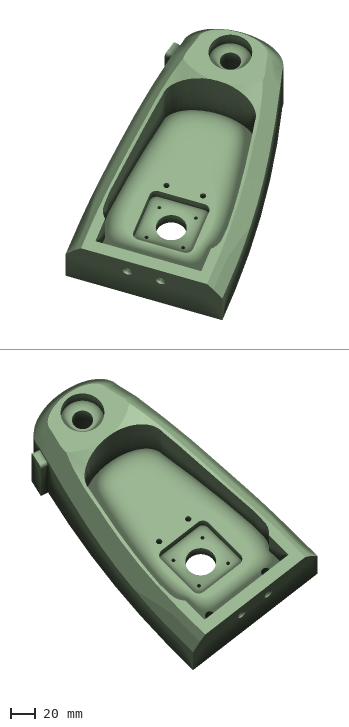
import cadquery as cq
import math

length = 239.5
width = 133.4
height = 63.0
half_width = width / 2

flank_start_y = 32.8
flank_axis_y = 19.2
nose_corner = (42.4, 214.8)
flank_rise = nose_corner[1] - flank_axis_y
flank_run = half_width - nose_corner[0]
flank_radius = (flank_rise**2 + flank_run**2) / (2 * flank_run)

low_top_z = 43.5
valley_start_y = 59.4
valley_end = (141.3, 52.7)
rim_y = 178.9
rim_side = (34.5, 191.5)
valley_end_bow = 0.2
shoulder_half_width = 52.7
clearance = 2.5

bevel_width = 13.0
bevel_height = 12.0
bevel_break_y = 197.3
nose_bevel_depth = 8.9
flank_bevel_top = (58.7, 39.0)
flank_bevel_bottom_z = 29.7

pocket_floor_z = 18.0
pocket_back_y = 10.5
pocket_back_half_width = 45.0
pocket_step_y = 34.0
pocket_bulge_mid = (48.8, 39.7)
pocket_bulge_end = (50.3, 46.7)
pocket_flank_start = (50.5, 59.4)
pocket_flank_mid = (47.0, 100.5)
pocket_nose_corner = (39.3, 157.3)
pocket_end_y = 179.5

seat_y = 66.0
seat_size = 50.8
seat_corner_radius = 6.0
seat_depth = 8.0
seat_bore_diameter = 25.0
hole_pitch = 31.1
seat_screw_diameter = 3.0
guide_hole_diameter = 5.0
guide_hole_y = 99.0
floor_hole_diameter = 8.1
floor_hole_pitch = 60.0
floor_hole_y = 20.8

back_hole_diameter = 8.1
back_hole_pitch = 28.3
back_hole_z = 30.0

pivot_y = 209.5
pivot_diameter = 17.0
pivot_counterbore_diameter = 35.2
pivot_counterbore_depth = 12.0

tab_corner = (-49.3, 215.5)
tab_length = 15.5
tab_thickness = 9.5
tab_height = 48.4
tab_radius = 3.0
tab_tilt = 12.5


def mirrored(point):
    return (-point[0], point[1])


def flank_x(y):
    """Half width of the outline at a given Y along the flank arc."""
    return half_width - flank_radius + math.sqrt(flank_radius**2 - (y - flank_axis_y) ** 2)


def flank_top_z(y):
    """Height of the upper bevel edge at a given Y."""
    if y <= valley_start_y:
        return low_top_z
    valley_y, valley_z = valley_end
    if y <= valley_y:
        rise = (y - valley_start_y) / (valley_y - valley_start_y)
        return low_top_z + (valley_z - low_top_z) * rise**2
    rise = min((y - valley_y) / (bevel_break_y - valley_y), 1)
    return valley_z + (height - valley_z) * rise


def outer_blank():
    start = (flank_x(flank_start_y), flank_start_y)
    middle_y = (flank_start_y + nose_corner[1]) / 2
    middle = (flank_x(middle_y), middle_y)
    return (
        cq.Workplane("XY")
        .moveTo(-half_width, 0)
        .lineTo(half_width, 0)
        .lineTo(*start)
        .threePointArc(middle, nose_corner)
        .ellipseArc(nose_corner[0], length - nose_corner[1], 0, 180, startAtCurrent=True)
        .threePointArc(mirrored(middle), mirrored(start))
        .close()
        .extrude(height)
    )


def valley_cutter():
    """Space above the low back top and the rising curve, constant along X."""
    end_y, end_z = valley_end
    rise_slope = 2 * (end_z - low_top_z) / (end_y - valley_start_y)
    return (
        cq.Workplane("YZ", origin=(-width, 0, 0))
        .moveTo(-clearance, low_top_z)
        .lineTo(valley_start_y, low_top_z)
        .spline(
            [valley_end],
            tangents=[(1, 0), (1, rise_slope)],
            includeCurrent=True,
        )
        .lineTo(end_y, height + clearance)
        .lineTo(-clearance, height + clearance)
        .close()
        .extrude(2 * width)
    )


def shoulder_section(plane, middle_y, side_y):
    """Level section reaching the full width, closed by an arc towards the nose."""
    back_y = valley_start_y
    return (
        plane.moveTo(-shoulder_half_width, back_y)
        .lineTo(shoulder_half_width, back_y)
        .lineTo(shoulder_half_width, side_y)
        .threePointArc((0, middle_y), (-shoulder_half_width, side_y))
        .close()
    )


def shoulder_cutter():
    """Space above the ruled slope from the valley end to the arched plateau rim."""
    end_y, end_z = valley_end
    rim_rise = rim_side[1] - rim_y
    rim_radius = (rim_side[0] ** 2 + rim_rise**2) / (2 * rim_rise)
    rim_end_y = rim_y + rim_radius - math.sqrt(rim_radius**2 - shoulder_half_width**2)
    lower = shoulder_section(
        cq.Workplane("XY", origin=(0, 0, end_z)), end_y, end_y + valley_end_bow
    )
    return shoulder_section(
        lower.workplane(offset=height - end_z), rim_y, rim_end_y
    ).loft(ruled=True)


def bevel_section(y):
    """Triangle outside the bevel line at a given Y, overshooting both bevel edges."""
    outer_x = flank_x(max(y, flank_start_y))
    top_z = flank_top_z(y)
    low = cq.Vector(outer_x + bevel_width, y, top_z - 2 * bevel_height)
    high = cq.Vector(outer_x - 2 * bevel_width, y, top_z + bevel_height)
    corner = cq.Vector(low.x, y, high.z)
    return cq.Wire.makePolygon([low, high, corner], close=True)


def flank_bevel_cutter():
    """Bevel along the +X flank in stretches, from the straight back to the plateau."""
    valley_y = valley_end[0]
    valley_middle_y = (valley_start_y + valley_y) / 2
    shoulder_middle_y = (valley_y + bevel_break_y) / 2
    stretches = [
        [-clearance, flank_start_y],
        [flank_start_y, valley_start_y],
        [valley_start_y, valley_middle_y, valley_y],
        [valley_y, shoulder_middle_y, bevel_break_y],
        [bevel_break_y, nose_corner[1]],
    ]
    cutter = cq.Workplane("XY")
    for stations in stretches:
        cutter = cutter.add(cq.Solid.makeLoft([bevel_section(y) for y in stations]))
    return cutter.combine()


def back_flank_cutter():
    """Steeper straight bevel that runs forward until the curved bevel swallows it."""
    top_x, top_z = flank_bevel_top
    run = half_width - top_x
    drop = top_z - flank_bevel_bottom_z
    return (
        cq.Workplane("XZ")
        .polyline(
            [
                (half_width + run, flank_bevel_bottom_z - drop),
                (top_x - run, top_z + drop),
                (half_width + run, top_z + drop),
            ]
        )
        .close()
        .extrude(-valley_end[0])
    )


def nose_section(plane, half, tip_y):
    corner_y = nose_corner[1]
    return (
        plane.moveTo(half, corner_y)
        .ellipseArc(half, tip_y - corner_y, 0, 180, startAtCurrent=True)
        .close()
    )


def nose_bevel_cutter():
    """Space around the tapering nose, above the lower bevel edge."""
    low_z = height - bevel_height
    corner_x, corner_y = nose_corner
    lower = nose_section(cq.Workplane("XY", origin=(0, 0, low_z)), corner_x, length)
    nose = nose_section(
        lower.workplane(offset=bevel_height), corner_x - bevel_width, length - nose_bevel_depth
    ).loft(ruled=True)
    block = cq.Workplane("XY", origin=(0, corner_y, low_z)).box(
        width, length, bevel_height, centered=(True, False, False)
    )
    return block.cut(nose)


def pocket_cutter():
    nose_x, nose_y = pocket_nose_corner
    step = (pocket_back_half_width, pocket_step_y)
    return (
        cq.Workplane("XY", origin=(0, 0, pocket_floor_z))
        .moveTo(-pocket_back_half_width, pocket_back_y)
        .lineTo(pocket_back_half_width, pocket_back_y)
        .lineTo(*step)
        .threePointArc(pocket_bulge_mid, pocket_bulge_end)
        .lineTo(*pocket_flank_start)
        .threePointArc(pocket_flank_mid, pocket_nose_corner)
        .ellipseArc(nose_x, pocket_end_y - nose_y, 0, 180, startAtCurrent=True)
        .threePointArc(mirrored(pocket_flank_mid), mirrored(pocket_flank_start))
        .lineTo(*mirrored(pocket_bulge_end))
        .threePointArc(mirrored(pocket_bulge_mid), mirrored(step))
        .close()
        .extrude(height)
    )


def upright_hole(x, y, diameter):
    return cq.Workplane("XY", origin=(x, y, 0)).circle(diameter / 2).extrude(height)


def motor_seat_cutter():
    seat = (
        cq.Workplane("XY", origin=(0, seat_y, pocket_floor_z - seat_depth))
        .rect(seat_size, seat_size)
        .extrude(seat_depth)
        .edges("|Z")
        .fillet(seat_corner_radius)
    )
    return seat.union(upright_hole(0, seat_y, seat_bore_diameter))


def pivot_cutter():
    counterbore = (
        cq.Workplane("XY", origin=(0, pivot_y, height - pivot_counterbore_depth))
        .circle(pivot_counterbore_diameter / 2)
        .extrude(pivot_counterbore_depth)
    )
    return counterbore.union(upright_hole(0, pivot_y, pivot_diameter))


def back_hole(x):
    return (
        cq.Workplane("XZ", origin=(x, 0, back_hole_z))
        .circle(back_hole_diameter / 2)
        .extrude(-(pocket_back_y + clearance))
    )


def tab():
    return (
        cq.Workplane("XY")
        .box(tab_thickness, tab_length, tab_height, centered=False)
        .translate((0, -tab_length, 0))
        .edges("|X and >Z")
        .fillet(tab_radius)
        .rotate((0, 0, 0), (0, 0, 1), -tab_tilt)
        .translate((*tab_corner, 0))
    )


body = outer_blank().cut(valley_cutter()).cut(shoulder_cutter())
for flank_cutter in (flank_bevel_cutter(), back_flank_cutter()):
    body = body.cut(flank_cutter).cut(flank_cutter.mirror("YZ"))
body = body.cut(nose_bevel_cutter()).union(tab())
body = body.cut(pocket_cutter()).cut(motor_seat_cutter()).cut(pivot_cutter())

for side in (-1, 1):
    screw_x = side * hole_pitch / 2
    for screw_y in (seat_y - hole_pitch / 2, seat_y + hole_pitch / 2):
        body = body.cut(upright_hole(screw_x, screw_y, seat_screw_diameter))
    body = body.cut(upright_hole(screw_x, guide_hole_y, guide_hole_diameter))
    body = body.cut(upright_hole(side * floor_hole_pitch / 2, floor_hole_y, floor_hole_diameter))
    body = body.cut(back_hole(side * back_hole_pitch / 2))

result = body